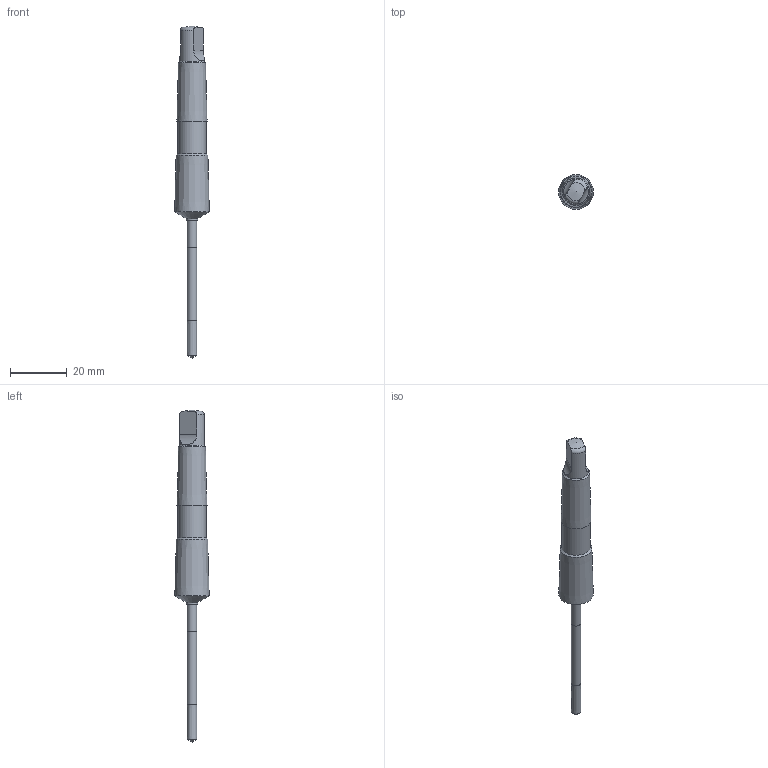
import cadquery as cq
import math

total_length = 117.0

drill_diameter = 3.3
point_angle = 118.0
lead_top = 13.2
lead_top_diameter = 3.28
drill_top = 39.0
drill_top_diameter = 3.26

collar_diameter = 4.0
collar_bottom = 48.5
cone_slope = 30.0

shank_length = 65.5
taper_big_diameter = 12.2
taper_per_length = 1 / 20.047
relief_diameter = 10.1
relief_bottom = 72.0
relief_top = 83.5
shoulder_z = 104.5

tang_diameter = 8.7
tang_thickness = 5.2
tang_flat_length = 8.5
tang_runout_radius = 5.0
tang_edge_radius = 1.2
tang_normal_angle = -30.0
tang_crown_height = 0.45

drill_radius = drill_diameter / 2
collar_radius = collar_diameter / 2
relief_radius = relief_diameter / 2
tang_radius = tang_diameter / 2
big_radius = taper_big_diameter / 2
shank_bottom = total_length - shank_length
point_height = drill_radius / math.tan(math.radians(point_angle / 2))
collar_top = shank_bottom - (big_radius - collar_radius) * math.tan(math.radians(cone_slope))


def taper_radius(z):
    """Radius of the Morse taper at height z."""
    return big_radius - (z - shank_bottom) * taper_per_length / 2


def chamfer_below(z, inner_radius):
    """Taper point (r, z) where a 45 degree chamfer falling from (inner_radius, z) meets the taper."""
    drop = (taper_radius(z) - inner_radius) / (1 - taper_per_length / 2)
    return inner_radius + drop, z - drop


def make_drill():
    """Cutting body: point, lead and fluted length, the last two with a slight back taper."""
    return (
        cq.Workplane("XZ")
        .moveTo(0, 0)
        .lineTo(drill_radius, point_height)
        .lineTo(lead_top_diameter / 2, lead_top)
        .lineTo(drill_top_diameter / 2, drill_top)
        .lineTo(0, drill_top)
        .close()
        .revolve(360, (0, 0), (0, 1))
    )


def tang_flat_cutter():
    """Cutter for one tang flat: normal along +X, with a round runout at its lower end."""
    flat_x = tang_thickness / 2
    flat_bottom = total_length - tang_flat_length
    outer_x = flat_x + tang_runout_radius
    diagonal = tang_runout_radius * math.sqrt(0.5)
    return (
        cq.Workplane("XZ")
        .moveTo(flat_x, total_length)
        .lineTo(flat_x, flat_bottom)
        .threePointArc(
            (outer_x - diagonal, flat_bottom - diagonal),
            (outer_x, flat_bottom - tang_runout_radius),
        )
        .lineTo(outer_x, total_length)
        .close()
        .extrude(tang_diameter, both=True)
    )


def make_shank():
    """Shank body: neck, collar, relieved Morse taper and tang."""
    crown_radius = tang_radius - tang_edge_radius
    crown_edge_z = total_length - tang_crown_height
    arc_center_z = crown_edge_z - tang_edge_radius
    diagonal = tang_edge_radius * math.sqrt(0.5)
    shank = (
        cq.Workplane("XZ")
        .moveTo(0, drill_top)
        .lineTo(drill_radius, drill_top)
        .lineTo(drill_radius, collar_bottom)
        .lineTo(collar_radius, collar_bottom)
        .lineTo(collar_radius, collar_top)
        .lineTo(big_radius, shank_bottom)
        .lineTo(*chamfer_below(relief_bottom, relief_radius))
        .lineTo(relief_radius, relief_bottom)
        .lineTo(relief_radius, relief_top)
        .lineTo(taper_radius(relief_top), relief_top)
        .lineTo(*chamfer_below(shoulder_z, tang_radius))
        .lineTo(tang_radius, shoulder_z)
        .lineTo(tang_radius, arc_center_z)
        .threePointArc(
            (crown_radius + diagonal, arc_center_z + diagonal),
            (crown_radius, crown_edge_z),
        )
        .lineTo(0, total_length)
        .close()
        .revolve(360, (0, 0), (0, 1))
    )
    cutter = tang_flat_cutter()
    for side_angle in (0, 180):
        shank = shank.cut(cutter.rotate((0, 0, 0), (0, 0, 1), tang_normal_angle + side_angle))
    return shank


drill = make_drill()
shank = make_shank()

result = cq.Compound.makeCompound([drill.val(), shank.val()])